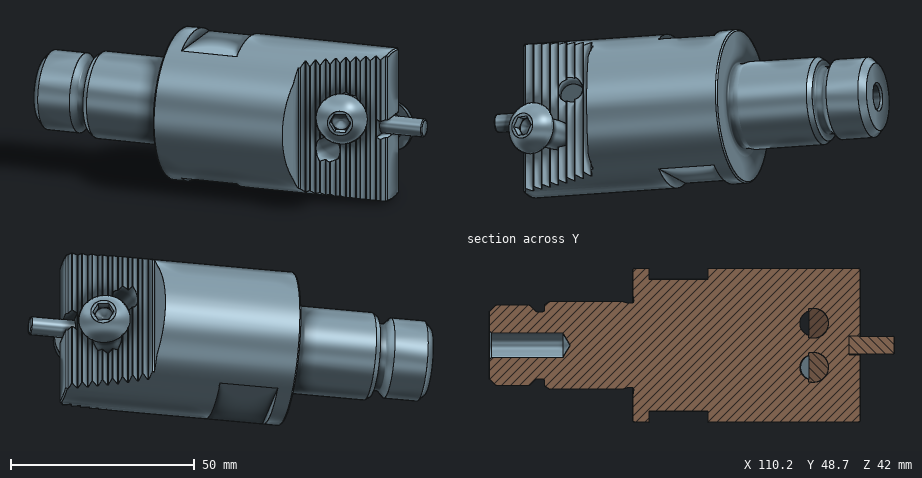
import cadquery as cq
import math


SHANK_RADIUS = 12.0
NOSE_RADIUS = 11.0
NOSE_CHAMFER = 1.8
NOSE_END_X = 11.0
GROOVE_RADIUS = 9.2
GROOVE_WALL_X = 15.0
GROOVE_FILLET = 0.6
LEAD_IN_LENGTH = 1.35
LEAD_IN_DROP = 0.9

RELIEF_START_X = 36.2
RELIEF_DEPTH = 0.42
RELIEF_RAMP_ANGLE = 15.0
RELIEF_RAMP_ROUNDING = 1.3
RELIEF_FACE_RADIUS = 13.8
RELIEF_FACE_DEPTH = 0.3
RELIEF_FILLET = 0.6

TAP_RADIUS = 3.3
TAP_MOUTH_RADIUS = 3.9
TAP_DEPTH = 20.0

DRILL_POINT_ANGLE = 118.0

HEAD_RADIUS = 21.0
HEAD_START_X = 39.0
HEAD_END_X = 101.0
HEAD_CHAMFER = 0.4
WRENCH_FLAT_WIDTH = 36.0
WRENCH_FLAT_START_X = 43.5
WRENCH_FLAT_LENGTH = 16.0

WEDGE_ANGLE = 15.0
WEDGE_SLOPE = math.tan(math.radians(WEDGE_ANGLE))
SHOULDER_X = 78.0
SHOULDER_RIM_X = 76.65
TOOTH_COUNT = 8
TOOTH_PITCH = 2.75
TOOTH_FLANK_ANGLE = 60.0
TOOTH_FLAT = 0.24
FIRST_CREST_X = 78.45
FIRST_CREST_Y = 12.2
CUT_CLEARANCE = 1.0

SCREW_RADIUS = 4.0
SCREW_LENGTH = 19.8
SCREW_Z = 6.0
SCREW_TIP_X = 88.0
SCREW_TIP_Y = -0.28
SCREW_HEAD_RADIUS = 7.0
SCREW_HEAD_HEIGHT = 4.8
SCREW_HEAD_RIM = 0.8
SCREW_HEAD_ROUNDING = 0.5
SCREW_HEAD_FLAT_RADIUS = 3.45
SOCKET_WIDTH = 5.0
SOCKET_DEPTH = 2.6
SOCKET_TURN = 30.0
SCREW_EXIT_RADIUS = 3.4

PIN_RADIUS = 2.5
PIN_LENGTH = 12.2
PIN_CHAMFER = 0.3
PIN_END_X = 110.2
PIN_START_X = PIN_END_X - PIN_LENGTH



def shank_and_head():
    """Turned outline, revolved about X."""
    groove_cone_end_x = NOSE_END_X + NOSE_RADIUS - GROOVE_RADIUS
    cone_angle = math.radians(45.0)
    cone_tangent = GROOVE_FILLET * math.tan(cone_angle / 2)
    cone_tangent_leg = cone_tangent * math.cos(cone_angle)
    cone_arc_end_x = groove_cone_end_x + cone_tangent
    relief_radius = SHANK_RADIUS - RELIEF_DEPTH
    ramp_angle = math.radians(RELIEF_RAMP_ANGLE)
    ramp_end_x = RELIEF_START_X + RELIEF_DEPTH / math.tan(ramp_angle)
    ramp_tangent = RELIEF_RAMP_ROUNDING * math.tan(ramp_angle / 2)
    ramp_arc_start = (
        ramp_end_x - ramp_tangent * math.cos(ramp_angle),
        relief_radius + ramp_tangent * math.sin(ramp_angle),
    )
    ramp_arc_end = (ramp_end_x + ramp_tangent, relief_radius)
    relief_wall_x = HEAD_START_X + RELIEF_FACE_DEPTH
    outline = (
        cq.Workplane("XY")
        .moveTo(0, 0)
        .lineTo(0, NOSE_RADIUS - NOSE_CHAMFER)
        .lineTo(NOSE_CHAMFER, NOSE_RADIUS)
        .lineTo(NOSE_END_X, NOSE_RADIUS)
        .lineTo(groove_cone_end_x - cone_tangent_leg, GROOVE_RADIUS + cone_tangent_leg)
        .radiusArc((cone_arc_end_x, GROOVE_RADIUS), -GROOVE_FILLET)
        .lineTo(GROOVE_WALL_X - GROOVE_FILLET, GROOVE_RADIUS)
        .radiusArc((GROOVE_WALL_X, GROOVE_RADIUS + GROOVE_FILLET), -GROOVE_FILLET)
        .lineTo(GROOVE_WALL_X, SHANK_RADIUS - LEAD_IN_DROP)
        .lineTo(GROOVE_WALL_X + LEAD_IN_LENGTH, SHANK_RADIUS)
        .lineTo(RELIEF_START_X, SHANK_RADIUS)
        .lineTo(*ramp_arc_start)
        .radiusArc(ramp_arc_end, -RELIEF_RAMP_ROUNDING)
        .lineTo(relief_wall_x - RELIEF_FILLET, relief_radius)
        .radiusArc((relief_wall_x, relief_radius + RELIEF_FILLET), -RELIEF_FILLET)
        .lineTo(HEAD_START_X, RELIEF_FACE_RADIUS)
        .lineTo(HEAD_START_X, HEAD_RADIUS - HEAD_CHAMFER)
        .lineTo(HEAD_START_X + HEAD_CHAMFER, HEAD_RADIUS)
        .lineTo(HEAD_END_X - HEAD_CHAMFER, HEAD_RADIUS)
        .lineTo(HEAD_END_X, HEAD_RADIUS - HEAD_CHAMFER)
        .lineTo(HEAD_END_X, 0)
        .close()
    )
    return outline.revolve(360, (0, 0, 0), (1, 0, 0))


def tapped_hole():
    """Blind hole with a countersunk mouth and a drill-point bottom."""
    mouth_depth = TAP_MOUTH_RADIUS - TAP_RADIUS
    point_length = TAP_RADIUS / math.tan(math.radians(DRILL_POINT_ANGLE / 2))
    return (
        cq.Workplane("XY")
        .polyline([
            (0, 0),
            (0, TAP_MOUTH_RADIUS),
            (mouth_depth, TAP_RADIUS),
            (TAP_DEPTH, TAP_RADIUS),
            (TAP_DEPTH + point_length, 0),
        ])
        .close()
        .revolve(360, (0, 0, 0), (1, 0, 0))
    )


def wrench_flats():
    """Two blocks whose inner faces are the flats above and below the axis."""
    cut_depth = HEAD_RADIUS - WRENCH_FLAT_WIDTH / 2
    center_x = WRENCH_FLAT_START_X + WRENCH_FLAT_LENGTH / 2
    center_z = WRENCH_FLAT_WIDTH / 2 + cut_depth / 2
    return (
        cq.Workplane("XY")
        .box(WRENCH_FLAT_LENGTH, 2 * HEAD_RADIUS, cut_depth)
        .translate((center_x, 0, center_z))
        .mirror("XY", union=True)
    )


def serration_cut():
    """Material removed on the +Y side: the shoulder and a row of V teeth on the wedge slope."""
    slope = math.radians(WEDGE_ANGLE)
    flank_run = TOOTH_PITCH / 2 - TOOTH_FLAT
    tooth_depth = flank_run * math.tan(math.radians(TOOTH_FLANK_ANGLE))
    shoulder_rise = (SHOULDER_X - SHOULDER_RIM_X) / WEDGE_SLOPE
    clear_y = HEAD_RADIUS + CUT_CLEARANCE
    clear_x = HEAD_END_X + CUT_CLEARANCE

    def slope_point(along, depth):
        """Point a distance along the crest line and a depth below it."""
        x = FIRST_CREST_X + along * math.cos(slope) - depth * math.sin(slope)
        y = FIRST_CREST_Y - along * math.sin(slope) - depth * math.cos(slope)
        return (x, y)

    points = [
        (SHOULDER_RIM_X - CUT_CLEARANCE * WEDGE_SLOPE, clear_y),
        (SHOULDER_X, HEAD_RADIUS - shoulder_rise),
        (SHOULDER_X, FIRST_CREST_Y),
    ]
    for tooth in range(TOOTH_COUNT + 1):
        crest_end = tooth * TOOTH_PITCH + TOOTH_FLAT / 2
        root_start = crest_end + flank_run
        root_end = root_start + TOOTH_FLAT
        points.append(slope_point(crest_end, 0))
        points.append(slope_point(root_start, tooth_depth))
        points.append(slope_point(root_end, tooth_depth))
        if tooth < TOOTH_COUNT:
            points.append(slope_point(root_end + flank_run, 0))
    points.append((clear_x, points[-1][1]))
    points.append((clear_x, clear_y))
    return cq.Workplane("XY").polyline(points).close().extrude(HEAD_RADIUS, both=True)


def pin_slot():
    """Slot across the head end, as wide as the pin."""
    length = HEAD_END_X - PIN_START_X
    return (
        cq.Workplane("XY")
        .box(length, 2 * HEAD_RADIUS, 2 * PIN_RADIUS)
        .translate((PIN_START_X + length / 2, 0, 0))
    )


def place_on_screw_axis(shape):
    """Move a shape built along +Z from the screw tip onto the +Y side screw axis."""
    return (
        shape
        .rotate((0, 0, 0), (1, 0, 0), -90)
        .rotate((0, 0, 0), (0, 0, 1), -WEDGE_ANGLE)
        .translate((SCREW_TIP_X, SCREW_TIP_Y, -SCREW_Z))
    )


def screw_hole():
    """Bore around the screw shank that continues past its tip as a smaller exit hole."""
    bore = cq.Workplane("XY").circle(SCREW_RADIUS).extrude(SCREW_LENGTH)
    exit_hole = cq.Workplane("XY").circle(SCREW_EXIT_RADIUS).extrude(-SCREW_LENGTH)
    return place_on_screw_axis(bore.union(exit_hole))


def on_both_sides(shape):
    """The shape and its copy turned half a turn about the tool axis."""
    return [shape, shape.rotate((0, 0, 0), (1, 0, 0), 180)]


body = shank_and_head().cut(tapped_hole()).cut(wrench_flats()).cut(pin_slot())
for cutter in on_both_sides(serration_cut()) + on_both_sides(screw_hole()):
    body = body.cut(cutter)



def button_head_screw():
    """Screw along +Z with its tip at the origin."""
    seat_z = SCREW_LENGTH
    rim_z = seat_z + SCREW_HEAD_RIM
    top_z = seat_z + SCREW_HEAD_HEIGHT
    dome_center_z = (
        SCREW_HEAD_FLAT_RADIUS**2 + top_z**2 - SCREW_HEAD_RADIUS**2 - rim_z**2
    ) / (2 * (top_z - rim_z))
    dome_radius = math.hypot(SCREW_HEAD_RADIUS, rim_z - dome_center_z)
    outline = (
        cq.Workplane("XZ")
        .moveTo(0, 0)
        .lineTo(SCREW_RADIUS, 0)
        .lineTo(SCREW_RADIUS, seat_z)
        .lineTo(SCREW_HEAD_RADIUS, seat_z)
        .lineTo(SCREW_HEAD_RADIUS, rim_z)
        .radiusArc((SCREW_HEAD_FLAT_RADIUS, top_z), -dome_radius)
        .lineTo(0, top_z)
        .close()
    )
    screw = outline.revolve(360, (0, 0, 0), (0, 1, 0))
    dome_foot = cq.selectors.BoxSelector(
        (-SCREW_HEAD_RADIUS, -SCREW_HEAD_RADIUS, rim_z - SCREW_HEAD_RIM / 2),
        (SCREW_HEAD_RADIUS, SCREW_HEAD_RADIUS, rim_z + SCREW_HEAD_RIM / 2),
    )
    screw = screw.edges("%CIRCLE").edges(dome_foot).fillet(SCREW_HEAD_ROUNDING)
    socket_floor_z = top_z - SOCKET_DEPTH
    socket = (
        cq.Workplane("XY", origin=(0, 0, top_z))
        .polygon(6, SOCKET_WIDTH, circumscribed=True)
        .extrude(-SOCKET_DEPTH)
        .rotate((0, 0, 0), (0, 0, 1), SOCKET_TURN)
    )
    point_radius = SOCKET_WIDTH / 2
    point_depth = point_radius / math.tan(math.radians(DRILL_POINT_ANGLE / 2))
    point_base = cq.Vector(0, 0, socket_floor_z)
    drill_point = cq.Solid.makeCone(point_radius, 0, point_depth, point_base, cq.Vector(0, 0, -1))
    return screw.cut(socket).cut(drill_point)


screws = on_both_sides(place_on_screw_axis(button_head_screw()))



pin = (
    cq.Workplane("YZ", origin=(PIN_START_X, 0, 0))
    .circle(PIN_RADIUS)
    .extrude(PIN_LENGTH)
    .faces(">X")
    .chamfer(PIN_CHAMFER)
)


result = cq.Compound.makeCompound([body.val(), *[screw.val() for screw in screws], pin.val()])